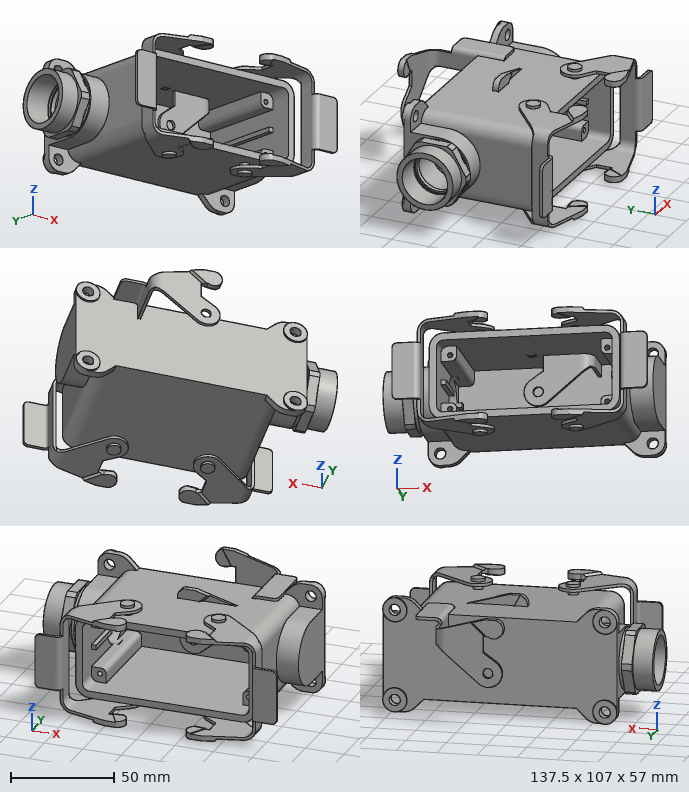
import cadquery as cq
import math

DIAGONAL = math.sqrt(0.5)


HOUSING_LENGTH = 93.5
HOUSING_HEIGHT = 43.2
HOUSING_DEPTH = 62.9
WALL = 3.6
OUTER_RADIUS = 7.2
INNER_RADIUS = OUTER_RADIUS - WALL
INNER_LENGTH = HOUSING_LENGTH - 2 * WALL
INNER_HEIGHT = HOUSING_HEIGHT - 2 * WALL

FLANGE_THICKNESS = 3.6
FLANGE_LENGTH = 116.5
FLANGE_HEIGHT = 57.0
PAD_RADIUS = 12.0 / 2
PAD_RISE = 1.0
MOUNT_HOLE_DIAMETER = 5.5
EAR_FLAT_END = 48.4
EAR_RADIUS = 8.5
PAD_X = FLANGE_LENGTH / 2 - PAD_RADIUS
PAD_Z = FLANGE_HEIGHT / 2 - PAD_RADIUS

BOSS_RADIUS = 16.4
ENTRY_Y = -19.0
ENTRY_HOLE_DIAMETER = 21.7

POST_LENGTH = 7.7
POST_HEIGHT = 7.5
POST_RADIUS = 2.8
POST_FRONT_Y = -51.0
SCREW_HOLE_DIAMETER = 2.5
SCREW_HOLE_DEPTH = 13.8
SCREW_HOLE_X = 38.7
SCREW_HOLE_Z = 13.5
RIB_WIDTH = 2.3
RIB_HEIGHT = 2.5

PIVOT_X = 23.7
PIVOT_Y = -53.0
PIN_DIAMETER = 5.0
PIN_HEAD_DIAMETER = 7.0
PIN_HEAD_THICKNESS = 1.4

GLAND_END_X = -74.8
TUBE_DIAMETER = 30.0
GLAND_BORE_DIAMETER = 24.2
GLAND_BORE_DEPTH = 13.0
GLAND_STEP_DIAMETER = 23.4
GLAND_STEP_DEPTH = 1.1
NUT_FLATS = 31.8
NUT_CORNER_DIAMETER = 35.0
NUT_WIDTH = 5.2
NECK_DIAMETER = 31.0
NECK_LENGTH = 1.7

SHEET = 1.5
ARM_OUTER_Z = 25.7
ARM_INNER_Z = ARM_OUTER_Z - SHEET
BEND_RADIUS = 6.0
STRAP_X = 27.1
STRAP_TOP_Y = -12.1
STRAP_BOTTOM_Y = -20.4
STRAP_EDGE_X = 25.3
EYE_RADIUS = 7.0
EYE_HOLE_DIAMETER = PIN_DIAMETER
NOTCH_X = 2.5
NOTCH_TOP_Y = -10.3
NOTCH_BOTTOM_Y = -18.6
HOOK_RADIUS = 4.7
HOOK_X = -3.2
HOOK_Y = -22.4
HOOK_TIP_Y = -27.0
HEEL_X = 1.4
HOOK_OUTER_Z = 27.0
HOOK_INNER_Z = 23.8
RAMP_TOP_X = 1.8
RAMP_BOTTOM_X = 8.8
RAMP_BOTTOM_Y = -25.0
RAMP_WIDTH = 1.0
STEP_TOP_X = 0.4
STEP_BOTTOM_X = -4.3
TAB_END_X = 39.0
TAB_WIDTH = 28.0
TAB_CORNER_RADIUS = 2.5
TAB_BEND_RADIUS = 1.4


def centred_box(length, depth, height):
    """Box centred on X and Z, running from Y = 0 to Y = -depth."""
    return cq.Workplane("XZ").rect(length, height).extrude(depth)


def x_cylinder(diameter, start_x, end_x):
    """Cylinder along X on the cable entry axis."""
    return (
        cq.Workplane("YZ", origin=(start_x, ENTRY_Y, 0))
        .circle(diameter / 2)
        .extrude(end_x - start_x)
    )


def y_cylinder(diameter, x, z, start_y, end_y):
    """Cylinder along Y from start_y to the smaller end_y."""
    return cq.Workplane("XZ", origin=(x, start_y, z)).circle(diameter / 2).extrude(start_y - end_y)


def z_cylinder(diameter, x, y, start_z, end_z):
    """Cylinder along Z."""
    return cq.Workplane("XY", origin=(x, y, start_z)).circle(diameter / 2).extrude(end_z - start_z)


def flange_quarter():
    """The +X, +Z quarter of the flange, with its rounded ear."""
    end_x = FLANGE_LENGTH / 2
    top_z = FLANGE_HEIGHT / 2
    slope_x = EAR_FLAT_END - EAR_RADIUS * DIAGONAL
    slope_z = top_z - EAR_RADIUS * (1 - DIAGONAL)
    half_slope = math.pi / 8
    arc_x = EAR_FLAT_END - EAR_RADIUS * math.sin(half_slope)
    arc_z = top_z - EAR_RADIUS * (1 - math.cos(half_slope))
    wall_z = HOUSING_HEIGHT / 2
    corner = (PAD_X + PAD_RADIUS * DIAGONAL, PAD_Z + PAD_RADIUS * DIAGONAL)
    return (
        cq.Workplane("XZ")
        .lineTo(end_x, 0)
        .lineTo(end_x, PAD_Z)
        .threePointArc(corner, (PAD_X, top_z))
        .lineTo(EAR_FLAT_END, top_z)
        .threePointArc((arc_x, arc_z), (slope_x, slope_z))
        .lineTo(slope_x - (slope_z - wall_z), wall_z)
        .lineTo(0, wall_z)
        .close()
        .extrude(FLANGE_THICKNESS)
    )


def make_flange():
    """Back plate with an ear at each of its four corners."""
    half = flange_quarter()
    half = half.union(half.mirror("YZ"))
    return half.union(half.mirror("XY"))


def add_mounting_pads(body):
    """Round pads behind the four ears, each with a screw hole."""
    for x in (-PAD_X, PAD_X):
        for z in (-PAD_Z, PAD_Z):
            body = body.union(y_cylinder(2 * PAD_RADIUS, x, z, PAD_RISE, -FLANGE_THICKNESS))
            body = body.cut(y_cylinder(MOUNT_HOLE_DIAMETER, x, z, PAD_RISE, -FLANGE_THICKNESS))
    return body


def make_bosses():
    """A bar with a round front, as long as the flange, that forms both end bosses."""
    block = centred_box(FLANGE_LENGTH, -ENTRY_Y, 2 * BOSS_RADIUS)
    return block.union(x_cylinder(2 * BOSS_RADIUS, -FLANGE_LENGTH / 2, FLANGE_LENGTH / 2))


def make_cavity():
    """Rounded space inside the housing, open at the front; its back wall is as thick as the flange."""
    cavity = centred_box(INNER_LENGTH, HOUSING_DEPTH - FLANGE_THICKNESS, INNER_HEIGHT)
    return cavity.edges("|Y").fillet(INNER_RADIUS).translate((0, -FLANGE_THICKNESS, 0))


def make_post(side_x, side_z):
    """Post filling one corner of the cavity, with a screw hole in its front."""
    depth = -POST_FRONT_Y
    overlap = WALL / 2
    post = (
        centred_box(POST_LENGTH + overlap, depth, POST_HEIGHT + overlap)
        .edges("|Y and <X and <Z")
        .fillet(POST_RADIUS)
        .translate((
            (INNER_LENGTH - POST_LENGTH + overlap) / 2,
            0,
            (INNER_HEIGHT - POST_HEIGHT + overlap) / 2,
        ))
    )
    hole = y_cylinder(
        SCREW_HOLE_DIAMETER, SCREW_HOLE_X, SCREW_HOLE_Z, POST_FRONT_Y + SCREW_HOLE_DEPTH, POST_FRONT_Y
    )
    post = post.cut(hole)
    if side_x < 0:
        post = post.mirror("YZ")
    if side_z < 0:
        post = post.mirror("XY")
    return post


def make_housing():
    """Housing with its flange, entry bosses, posts, ribs and the riveted pivot pins, all in one piece."""
    shell = centred_box(HOUSING_LENGTH, HOUSING_DEPTH, HOUSING_HEIGHT).edges("|Y").fillet(OUTER_RADIUS)
    body = shell.union(make_flange()).union(make_bosses())
    body = add_mounting_pads(body).cut(make_cavity())

    for side_x in (-1, 1):
        rib = centred_box(2 * RIB_HEIGHT, -POST_FRONT_Y, RIB_WIDTH)
        body = body.union(rib.translate((side_x * INNER_LENGTH / 2, 0, 0)))
        for side_z in (-1, 1):
            body = body.union(make_post(side_x, side_z).intersect(shell))

    bore_end = -INNER_LENGTH / 2 + RIB_HEIGHT
    body = body.cut(x_cylinder(ENTRY_HOLE_DIAMETER, -FLANGE_LENGTH / 2, bore_end))

    for x in (-PIVOT_X, PIVOT_X):
        for side in (-1, 1):
            wall_z = side * (HOUSING_HEIGHT / 2 - WALL / 2)
            arm_z = side * ARM_OUTER_Z
            head_z = side * (ARM_OUTER_Z + PIN_HEAD_THICKNESS)
            body = body.union(z_cylinder(PIN_DIAMETER, x, PIVOT_Y, wall_z, arm_z))
            body = body.union(z_cylinder(PIN_HEAD_DIAMETER, x, PIVOT_Y, arm_z, head_z))
    return body


def make_gland():
    """Cable gland: plain tube, hexagon nut with turned-off corners, and neck against the boss."""
    neck_end = -FLANGE_LENGTH / 2
    nut_end = neck_end - NECK_LENGTH
    nut_start = nut_end - NUT_WIDTH
    hexagon = (
        cq.Workplane("YZ", origin=(nut_start, ENTRY_Y, 0))
        .polygon(6, NUT_FLATS / math.cos(math.pi / 6))
        .extrude(NUT_WIDTH)
    )
    nut = hexagon.intersect(x_cylinder(NUT_CORNER_DIAMETER, nut_start, nut_end))
    body = x_cylinder(TUBE_DIAMETER, GLAND_END_X, nut_start)
    body = body.union(nut).union(x_cylinder(NECK_DIAMETER, nut_end, neck_end))
    bore_end = GLAND_END_X + GLAND_BORE_DEPTH
    step_end = bore_end + GLAND_STEP_DEPTH
    body = body.cut(x_cylinder(GLAND_BORE_DIAMETER, GLAND_END_X, bore_end))
    body = body.cut(x_cylinder(GLAND_STEP_DIAMETER, bore_end, step_end))
    return body.cut(x_cylinder(ENTRY_HOLE_DIAMETER, step_end, neck_end))


def eye_tangent(x, y, side):
    """Point where a line from (x, y) touches the eye; side is 1 counterclockwise, -1 clockwise of (x, y)."""
    angle = math.atan2(y, x) + side * math.acos(EYE_RADIUS / math.hypot(x, y))
    return (EYE_RADIUS * math.cos(angle), EYE_RADIUS * math.sin(angle))


def lever_outline():
    """The flat shape of an arm and the strap's edge, through the full height of the lever."""
    strap_side = eye_tangent(STRAP_EDGE_X, STRAP_TOP_Y, 1)
    notch_side = eye_tangent(NOTCH_X, NOTCH_TOP_Y, -1)
    tip_x = HOOK_X - math.sqrt(HOOK_RADIUS**2 - (HOOK_TIP_Y - HOOK_Y) ** 2)
    throat_x = HOOK_X + math.sqrt(HOOK_RADIUS**2 - (NOTCH_BOTTOM_Y - HOOK_Y) ** 2)
    blank = (
        cq.Workplane("XY", origin=(0, 0, -HOOK_OUTER_Z))
        .moveTo(*strap_side)
        .lineTo(STRAP_EDGE_X, STRAP_TOP_Y)
        .lineTo(STRAP_X, STRAP_TOP_Y)
        .lineTo(STRAP_X, STRAP_BOTTOM_Y)
        .lineTo(STRAP_EDGE_X, STRAP_BOTTOM_Y)
        .lineTo(HEEL_X, HOOK_TIP_Y)
        .lineTo(tip_x, HOOK_TIP_Y)
        .threePointArc((HOOK_X - HOOK_RADIUS, HOOK_Y), (throat_x, NOTCH_BOTTOM_Y))
        .lineTo(NOTCH_X, NOTCH_BOTTOM_Y)
        .lineTo(NOTCH_X, NOTCH_TOP_Y)
        .lineTo(*notch_side)
        .threePointArc((-EYE_RADIUS, 0), strap_side)
        .close()
        .extrude(2 * HOOK_OUTER_Z)
    )
    return blank.cut(z_cylinder(EYE_HOLE_DIAMETER, 0, 0, -HOOK_OUTER_Z, HOOK_OUTER_Z))


def bent_sheet():
    """U-shaped sheet: two arms joined by the strap, with rounded bends."""
    top_y = EYE_RADIUS
    depth = top_y - HOOK_TIP_Y
    outer_length = 2 * STRAP_X
    outer = (
        cq.Workplane("XZ", origin=(0, top_y, 0))
        .rect(outer_length, 2 * ARM_OUTER_Z)
        .extrude(depth)
        .edges("|Y and >X")
        .fillet(BEND_RADIUS)
    )
    inner = (
        cq.Workplane("XZ", origin=(-SHEET, top_y, 0))
        .rect(outer_length, 2 * ARM_INNER_Z)
        .extrude(depth)
        .edges("|Y and >X")
        .fillet(BEND_RADIUS - SHEET)
    )
    return outer.cut(inner)


def hook_thickening():
    """Zone that thickens the top arm's hook: a ramp on its outside and a step on its inside."""
    run_x = RAMP_BOTTOM_X - RAMP_TOP_X
    run_y = RAMP_BOTTOM_Y - NOTCH_BOTTOM_Y
    run = math.hypot(run_x, run_y)
    reach = 3 * HOOK_RADIUS
    ramp_plane = cq.Plane(
        origin=(RAMP_TOP_X, NOTCH_BOTTOM_Y, 0),
        xDir=(run_y / run, -run_x / run, 0),
        normal=(-run_x, -run_y, 0),
    )
    outside = (
        cq.Workplane(ramp_plane)
        .polyline([
            (0, ARM_INNER_Z),
            (0, ARM_OUTER_Z),
            (RAMP_WIDTH, HOOK_OUTER_Z),
            (reach, HOOK_OUTER_Z),
            (reach, ARM_INNER_Z),
        ])
        .close()
        .extrude(reach, both=True)
    )
    inside = (
        cq.Workplane("XY", origin=(0, 0, HOOK_INNER_Z))
        .polyline([
            (STEP_TOP_X, NOTCH_BOTTOM_Y),
            (STEP_BOTTOM_X, HOOK_TIP_Y),
            (HOOK_X - HOOK_RADIUS, HOOK_TIP_Y),
            (HOOK_X - HOOK_RADIUS, HOOK_Y + HOOK_RADIUS),
        ])
        .close()
        .extrude(ARM_INNER_Z - HOOK_INNER_Z)
    )
    return outside.union(inside)


def make_tab():
    """Finger tab that bends outward from the bottom edge of the strap."""
    inner_radius = TAB_BEND_RADIUS
    outer_radius = TAB_BEND_RADIUS + SHEET
    centre_x = STRAP_X + inner_radius
    top_y = STRAP_BOTTOM_Y - inner_radius
    tab = (
        cq.Workplane("XY", origin=(0, 0, -TAB_WIDTH / 2))
        .moveTo(STRAP_X, STRAP_BOTTOM_Y)
        .threePointArc(
            (centre_x - inner_radius * DIAGONAL, STRAP_BOTTOM_Y - inner_radius * DIAGONAL),
            (centre_x, top_y),
        )
        .lineTo(TAB_END_X, top_y)
        .lineTo(TAB_END_X, top_y - SHEET)
        .lineTo(centre_x, top_y - SHEET)
        .threePointArc(
            (centre_x - outer_radius * DIAGONAL, STRAP_BOTTOM_Y - outer_radius * DIAGONAL),
            (STRAP_X - SHEET, STRAP_BOTTOM_Y),
        )
        .close()
        .extrude(TAB_WIDTH)
    )
    return tab.edges("|Y and >X").fillet(TAB_CORNER_RADIUS)


def make_lever():
    """Locking lever with its pivot axis on Z, its strap toward +X and its hooks toward -Y."""
    outline = lever_outline()
    hook = hook_thickening()
    zone = bent_sheet().union(hook).union(hook.mirror("XY"))
    return zone.intersect(outline).union(make_tab())


lever = make_lever()
right_lever = lever.translate((PIVOT_X, PIVOT_Y, 0))
left_lever = right_lever.mirror("YZ")
crossing_lever = lever.rotate((0, 0, 0), (1, 0, 0), -90)

housing = make_housing().cut(crossing_lever)
gland = make_gland()

result = cq.Compound.makeCompound([
    housing.val(),
    gland.val(),
    left_lever.val(),
    right_lever.val(),
    crossing_lever.val(),
])